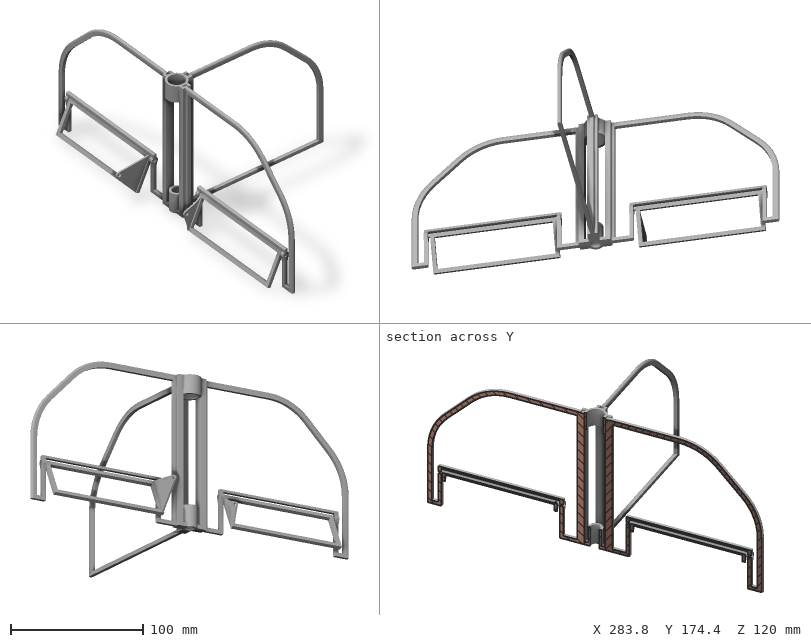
import cadquery as cq
import math

SPAN = 283.8
TIP_RADIUS = SPAN / 2
HEIGHT = 120.0
SHEET = 3.0
RIM_WIDTH = 4.8
CROWN = 1.28
CUT_CORNER = 50.0
BEND_RADIUS = 50.0
WING_INNER = 15.0
CROWN_END = 11.5

POST_WIDTH = 8.0
POST_INNER = 8.0
POST_OUTER = 12.5
TONGUE_INNER = 9.0
TONGUE_STEP = 10.0
TONGUE_HEAD_WIDTH = 4.5
TOP_RING_DIAMETER = 18.0
TOP_RING_BORE = 14.2
TOP_RING_HEIGHT = 15.0
FOOT_DIAMETER = 12.0
FOOT_BORE = 8.0
FOOT_HEIGHT = 17.5
FOOT_WEB_HEIGHT = 3.0

NOTCH_INNER = 29.5
NOTCH_OUTER = 129.0
NOTCH_TOP = 33.8
NOTCH_LINTEL = 2.0
HINGE_Z = 30.0
HINGE_HOLE = 3.0
BOSS_RADIUS = 2.98
BOSS_BLEND = 14.2

FLAP_WIDTH = 97.5
FLAP_BAR = 3.0
FLAP_DROP = 30.0
FLAP_TILT = 25.0
FLAP_GAP = 0.3
PIN_DIAMETER = 2.8
HORN_THICKNESS = 1.5
HORN_HOLE = 3.0
HORN_TIP_RADIUS = 2.8
HORN_HOLE_DROP = 16.0
LONG_HORN_REACH = 25.3
SHORT_HORN_REACH = 9.6
SHORT_HORN_INSET = 0.5
SHORT_HORN_FLANK_END = 6.8

SIN45 = math.sin(math.radians(45))
SIN22 = math.sin(math.radians(22.5))
COS22 = math.cos(math.radians(22.5))


def box(x0, x1, y0, y1, z0, z1):
    """Box between the given limits."""
    return cq.Workplane("XY").box(x1 - x0, y1 - y0, z1 - z0, centered=False).translate((x0, y0, z0))


def turned(shape, angle):
    """Shape turned about the hub axis."""
    return shape.rotate((0, 0, 0), (0, 0, 1), angle)



def rim_path(start_x, base_z, inset):
    """Open outline, inset from the wing's edge: up the tip, over the cut corner, in along the top."""
    radius = BEND_RADIUS - inset
    outer = TIP_RADIUS - inset
    top = HEIGHT - inset
    bend_tangent = BEND_RADIUS * SIN22 / COS22
    low_z = HEIGHT - CUT_CORNER - bend_tangent
    high_x = TIP_RADIUS - CUT_CORNER - bend_tangent
    side = radius * SIN45
    rise = radius - side
    mid_along = radius * SIN22
    mid_in = radius - radius * COS22
    return (
        cq.Workplane("XZ")
        .moveTo(outer, base_z)
        .lineTo(outer, low_z)
        .threePointArc((outer - mid_in, low_z + mid_along), (outer - rise, low_z + side))
        .lineTo(high_x + side, top - rise)
        .threePointArc((high_x + mid_along, top - mid_in), (high_x, top))
        .lineTo(start_x, top)
    )


def rim_plate(start_x, base_z, inset):
    """Sheet filling the rim outline."""
    outline = rim_path(start_x, base_z, inset).lineTo(start_x, base_z).close()
    return outline.extrude(SHEET / 2, both=True)


def crown():
    """Convex edge along the tip, the cut corner and the top."""
    edge = TIP_RADIUS - CROWN
    root = edge - CROWN
    section = (
        cq.Workplane("XY")
        .moveTo(root, -SHEET / 2)
        .lineTo(edge, -SHEET / 2)
        .threePointArc((TIP_RADIUS, 0), (edge, SHEET / 2))
        .lineTo(root, SHEET / 2)
        .close()
    )
    return section.sweep(rim_path(CROWN_END, 0, CROWN))


def tongue(top_z):
    """T-shaped edge of a wing, matching the slot of a post."""
    half_head = TONGUE_HEAD_WIDTH / 2
    neck = box(TONGUE_INNER, POST_OUTER, -SHEET / 2, SHEET / 2, 0, top_z)
    head = box(TONGUE_INNER, TONGUE_STEP, -half_head, half_head, 0, top_z)
    return neck.union(head)


def plain_wing():
    """Closed frame with a crowned outer edge and a tongue."""
    frame = rim_plate(CROWN_END, 0, CROWN).cut(rim_plate(WING_INNER, SHEET, RIM_WIDTH))
    return frame.union(crown()).union(tongue(HEIGHT - CROWN))


def hinge_boss(start_x):
    """Boss around the hinge axis, blended downwards into both sides of a notch bar."""
    half = SHEET / 2
    blend_y = half + BOSS_BLEND
    reach = BOSS_RADIUS + BOSS_BLEND
    drop = math.sqrt(reach**2 - blend_y**2)
    joint_y = blend_y * BOSS_RADIUS / reach
    joint_z = HINGE_Z - drop * BOSS_RADIUS / reach
    blend_z = HINGE_Z - drop
    half_angle = math.atan2(drop, blend_y) / 2
    mid_y = blend_y - BOSS_BLEND * math.cos(half_angle)
    mid_z = blend_z + BOSS_BLEND * math.sin(half_angle)
    profile = (
        cq.Workplane("YZ")
        .moveTo(-half, blend_z)
        .threePointArc((-mid_y, mid_z), (-joint_y, joint_z))
        .threePointArc((0, HINGE_Z + BOSS_RADIUS), (joint_y, joint_z))
        .threePointArc((mid_y, mid_z), (half, blend_z))
        .close()
    )
    return profile.extrude(SHEET).translate((start_x, 0, 0))


def notched_wing():
    """Wing frame whose lower edge steps up around the opening for a flap."""
    half = SHEET / 2
    inner_bar = NOTCH_INNER - SHEET
    surround = box(inner_bar, NOTCH_OUTER + SHEET, -half, half, 0, NOTCH_TOP + NOTCH_LINTEL)
    wing = plain_wing().union(surround)
    for start_x in (inner_bar, NOTCH_OUTER):
        wing = wing.union(hinge_boss(start_x))
    wing = wing.cut(box(NOTCH_INNER, NOTCH_OUTER, -half, half, 0, NOTCH_TOP))
    hole_length = NOTCH_OUTER + SHEET - inner_bar
    holes = cq.Workplane("YZ").center(0, HINGE_Z).circle(HINGE_HOLE / 2).extrude(hole_length)
    return wing.cut(holes.translate((inner_bar, 0, 0)))



def hub():
    """Top ring and foot ring joined by three slotted posts."""
    half = POST_WIDTH / 2
    body = cq.Workplane("XY").circle(FOOT_DIAMETER / 2).extrude(FOOT_HEIGHT)
    top_ring = cq.Workplane("XY").workplane(offset=HEIGHT - TOP_RING_HEIGHT)
    body = body.union(top_ring.circle(TOP_RING_DIAMETER / 2).extrude(TOP_RING_HEIGHT))
    slot = tongue(HEIGHT)
    for angle in (0, 90, 180):
        post = box(POST_INNER, POST_OUTER, -half, half, 0, HEIGHT)
        web = box(0, POST_INNER, -half, half, 0, FOOT_WEB_HEIGHT)
        body = body.union(turned(post.union(web), angle))
    for angle in (0, 90, 180):
        body = body.cut(turned(slot, angle))
    body = body.cut(cq.Workplane("XY").circle(FOOT_BORE / 2).extrude(HEIGHT))
    bore = top_ring.circle(TOP_RING_BORE / 2).extrude(TOP_RING_HEIGHT)
    return body.cut(bore)



def flap_frame():
    """Rectangular frame with a hinge pin at each upper corner."""
    half = FLAP_BAR / 2
    frame = box(0, FLAP_WIDTH, -half, half, -FLAP_DROP, half)
    frame = frame.cut(box(FLAP_BAR, FLAP_WIDTH - FLAP_BAR, -half, half, FLAP_BAR - FLAP_DROP, -half))
    pin_length = SHEET
    for start_x in (-pin_length, FLAP_WIDTH):
        pin = cq.Workplane("YZ").circle(PIN_DIAMETER / 2).extrude(pin_length)
        frame = frame.union(pin.translate((start_x, 0, 0)))
    return frame


def with_hole(plate, reach):
    """Horn plate with the hole near its tip."""
    hole = cq.Workplane("YZ").center(-reach, -HORN_HOLE_DROP).circle(HORN_HOLE / 2).extrude(HORN_THICKNESS)
    return plate.cut(hole)


def long_horn(start_x):
    """Triangular plate from the hinge and the free edge to a rounded tip."""
    half = FLAP_BAR / 2
    tip_y = -LONG_HORN_REACH
    tip_z = -HORN_HOLE_DROP

    def tangent_point(y, z, side):
        distance = math.hypot(y - tip_y, z - tip_z)
        angle = math.atan2(z - tip_z, y - tip_y) + side * math.acos(HORN_TIP_RADIUS / distance)
        return tip_y + HORN_TIP_RADIUS * math.cos(angle), tip_z + HORN_TIP_RADIUS * math.sin(angle)

    upper = tangent_point(-half, half, 1)
    lower = tangent_point(-half, -FLAP_DROP, -1)
    outline = (
        cq.Workplane("YZ")
        .moveTo(-half, half)
        .lineTo(*upper)
        .threePointArc((tip_y - HORN_TIP_RADIUS, tip_z), lower)
        .lineTo(-half, -FLAP_DROP)
        .lineTo(half, -FLAP_DROP)
        .lineTo(half, half)
        .close()
    )
    return with_hole(outline.extrude(HORN_THICKNESS), LONG_HORN_REACH).translate((start_x, 0, 0))


def short_horn(start_x):
    """Symmetric plate with 45 degree flanks that flare out towards the flap."""
    half = FLAP_BAR / 2
    tip_y = -SHORT_HORN_REACH
    shoulder = HORN_TIP_RADIUS * SIN45
    shoulder_y = tip_y - shoulder
    flank_end = shoulder - SHORT_HORN_FLANK_END - shoulder_y
    root = FLAP_DROP - HORN_HOLE_DROP
    half_outline = (
        cq.Workplane("YZ")
        .moveTo(tip_y - HORN_TIP_RADIUS, 0)
        .threePointArc((tip_y - HORN_TIP_RADIUS * COS22, -HORN_TIP_RADIUS * SIN22), (shoulder_y, -shoulder))
        .lineTo(-SHORT_HORN_FLANK_END, -flank_end)
        .tangentArcPoint((-half, -root), relative=False)
        .lineTo(half, -root)
        .lineTo(half, 0)
        .close()
    )
    half_plate = half_outline.extrude(HORN_THICKNESS)
    plate = half_plate.union(half_plate.mirror("XY")).translate((0, 0, -HORN_HOLE_DROP))
    return with_hole(plate, SHORT_HORN_REACH).translate((start_x, 0, 0))


def hung(flap, start_x):
    """Flap swung forward about its hinge and set in a notch."""
    return flap.rotate((0, 0, 0), (1, 0, 0), -FLAP_TILT).translate((start_x, 0, HINGE_Z))


def long_horn_flap():
    """Flap with the long horn centred on its +X bar."""
    horn_x = FLAP_WIDTH - (FLAP_BAR + HORN_THICKNESS) / 2
    flap = flap_frame().union(long_horn(horn_x))
    return hung(flap, FLAP_GAP - NOTCH_OUTER)


def short_horn_flap():
    """Flap with the short horn near its -X side."""
    flap = flap_frame().union(short_horn(SHORT_HORN_INSET))
    return hung(flap, NOTCH_INNER + FLAP_GAP)



hub_body = hub()
back_wing = turned(plain_wing(), 90)
flap_wings = [turned(notched_wing(), angle) for angle in (0, 180)]
left_flap = long_horn_flap()
right_flap = short_horn_flap()

result = cq.Compound.makeCompound([
    hub_body.val(),
    back_wing.val(),
    *[wing.val() for wing in flap_wings],
    left_flap.val(),
    right_flap.val(),
])